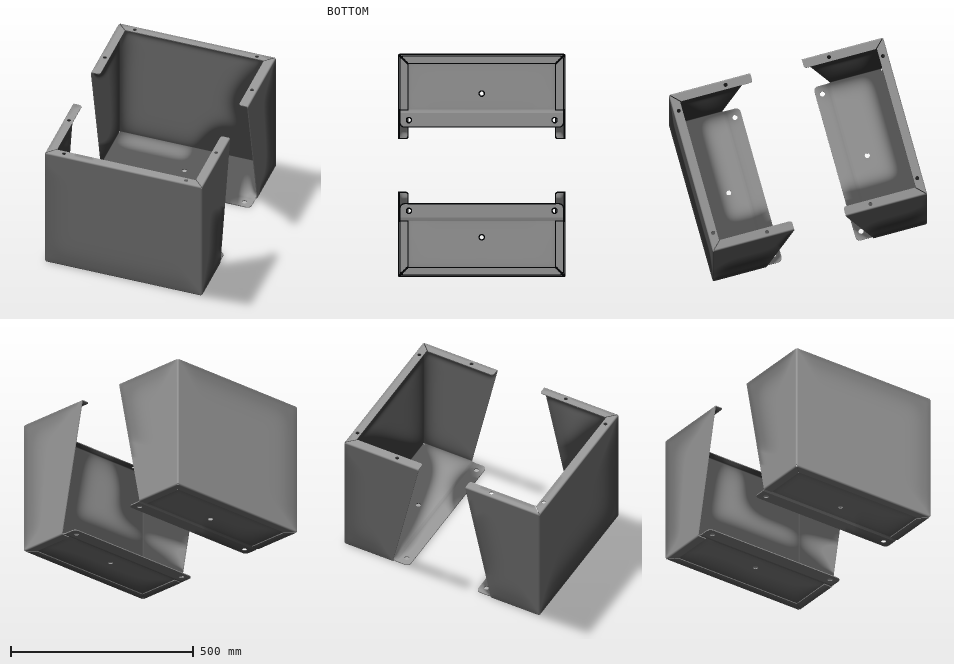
import cadquery as cq
import math

WIDTH = 457.0
LENGTH = 609.5
HEIGHT = 381.0

SHEET = 2.5
BEND_OUTER = 4.6
BEND_INNER = BEND_OUTER - SHEET

TOP_DEPTH = 231.5
SIDE_FOOT_DEPTH = 152.5
BACK_FLANGE = 25.0
SIDE_FLANGE = 27.0
MITRE_GAP = 2.5
MITRE_ANGLE = 45.0
FLANGE_TIP_RADIUS = 7.5

SCREW_DIA = 11.0
BACK_SCREW_INSET = 14.5
BACK_SCREW_SPACING = 355.5
SIDE_SCREW_INSET = 14.5
SIDE_SCREW_DEPTH = 158.0

STEP_START = SIDE_FOOT_DEPTH
STEP_END = 161.5
LIP_DEPTH = 200.0
LIP_RADIUS = 13.0
PLATE_WIDTH = WIDTH - 2 * BEND_OUTER
PLATE_BACK_CHAMFER = 7.5
PLATE_HOLE_DIA = 14.0
CENTRE_HOLE_DEPTH = 108.0
LIP_HOLE_DEPTH = 180.5
LIP_HOLE_SPACING = 400.0



def rounded_block(inset, bend_radius):
    """Block inside the envelope by `inset`, rounded on the three closed faces and open past the front."""
    return (
        cq.Workplane("XY")
        .box(WIDTH - 2 * inset, TOP_DEPTH, HEIGHT - 2 * inset, centered=(True, False, False))
        .translate((0, inset, inset))
        .edges("|Z and <Y")
        .fillet(bend_radius)
        .faces("<Z or >Z")
        .edges("not >Y")
        .fillet(bend_radius)
    )


def flange_window():
    """Opening between the flanges, through the top and the bottom."""
    return (
        cq.Workplane("XY")
        .box(WIDTH - 2 * SIDE_FLANGE, TOP_DEPTH, HEIGHT, centered=(True, False, False))
        .translate((0, BACK_FLANGE, 0))
    )


def front_cut():
    """Space in front of the sloping front edges of the side walls and the bottom flanges."""
    bend_line = HEIGHT - BEND_OUTER
    return (
        cq.Workplane("YZ")
        .moveTo(SIDE_FOOT_DEPTH, 0)
        .lineTo(SIDE_FOOT_DEPTH, BEND_OUTER)
        .lineTo(TOP_DEPTH, bend_line)
        .lineTo(LENGTH, bend_line)
        .lineTo(LENGTH, 0)
        .close()
        .extrude(WIDTH, both=True)
    )


def mitre_slots():
    """Narrow gaps between the back and side flanges at the two back corners, top and bottom."""
    half_length = math.hypot(SIDE_FLANGE, SIDE_FLANGE)
    slots = []
    for side in (-1, 1):
        for base in (0, HEIGHT - BEND_OUTER):
            slot = (
                cq.Workplane("XY")
                .box(2 * half_length, MITRE_GAP, BEND_OUTER, centered=(True, True, False))
                .rotate((0, 0, 0), (0, 0, 1), -side * MITRE_ANGLE)
                .translate((side * WIDTH / 2, 0, base))
            )
            slots.append(slot)
    return slots


def screw_holes():
    """Screw holes through the top flanges."""
    back_x = BACK_SCREW_SPACING / 2
    side_x = WIDTH / 2 - SIDE_SCREW_INSET
    points = []
    for side in (-1, 1):
        points.append((side * back_x, BACK_SCREW_INSET))
        points.append((side * side_x, SIDE_SCREW_DEPTH))
    return (
        cq.Workplane("XY", origin=(0, 0, HEIGHT - BEND_OUTER))
        .pushPoints(points)
        .circle(SCREW_DIA / 2)
        .extrude(BEND_OUTER)
    )


def make_cover():
    """Bent sheet cover with its flanges mitred, drilled and rounded at the front tips."""
    shell = rounded_block(0, BEND_OUTER).cut(rounded_block(SHEET, BEND_INNER))
    cover = shell.cut(flange_window()).cut(front_cut())
    for slot in mitre_slots():
        cover = cover.cut(slot)
    cover = cover.cut(screw_holes())
    tip_x = WIDTH / 2 - SIDE_FLANGE
    for side in (-1, 1):
        tip = cq.selectors.NearestToPointSelector((side * tip_x, TOP_DEPTH, HEIGHT - SHEET / 2))
        cover = cover.edges(tip).fillet(FLANGE_TIP_RADIUS)
    return cover


def make_floor_plate():
    """Floor plate on the bottom flanges, stepped down to a drilled lip with rounded corners."""
    plate = (
        cq.Workplane("YZ")
        .moveTo(BEND_OUTER, SHEET)
        .lineTo(STEP_START, SHEET)
        .lineTo(STEP_END, 0)
        .lineTo(LIP_DEPTH, 0)
        .lineTo(LIP_DEPTH, SHEET)
        .lineTo(STEP_END, SHEET)
        .lineTo(STEP_START, 2 * SHEET)
        .lineTo(BEND_OUTER, 2 * SHEET)
        .close()
        .extrude(PLATE_WIDTH / 2, both=True)
    )
    plate = plate.edges("|Z and >Y").fillet(LIP_RADIUS)
    plate = plate.edges("|Z and <Y").chamfer(PLATE_BACK_CHAMFER)
    lip_x = LIP_HOLE_SPACING / 2
    holes = (
        cq.Workplane("XY")
        .pushPoints([(0, CENTRE_HOLE_DEPTH), (-lip_x, LIP_HOLE_DEPTH), (lip_x, LIP_HOLE_DEPTH)])
        .circle(PLATE_HOLE_DIA / 2)
        .extrude(2 * SHEET)
    )
    return plate.cut(holes)


def place_half(body, turn):
    """Move a half's body so its back wall lies on the outer end, turned about Z."""
    return body.translate((0, -LENGTH / 2, 0)).rotate((0, 0, 0), (0, 0, 1), turn)


bodies = []
for turn in (0, 180):
    bodies.append(place_half(make_cover(), turn).solids().val())
    bodies.append(place_half(make_floor_plate(), turn).solids().val())

result = cq.Compound.makeCompound(bodies)